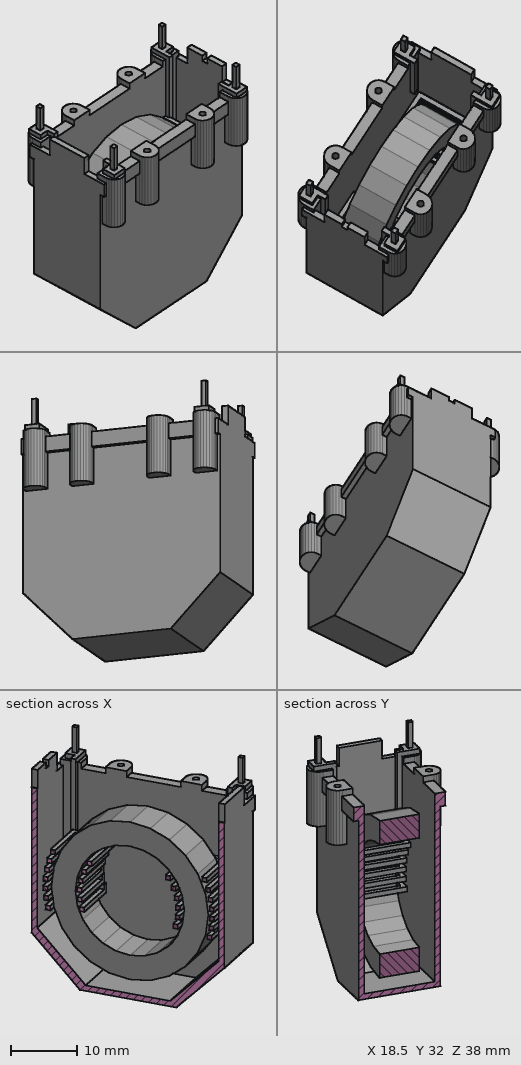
import cadquery as cq
import math


round_sides = 24

overall_width = 18.5
case_length = 32.0
case_width = 13.5
wall = 1.0
corner_cut = 8.0
case_top = 32.0
rim_width = 15.1
rim_height = 2.35

tab_width = 7.05
tab_top = 35.0
tab_slot_width = 1.0
tab_slot_depth = 1.0

boss_radius = 1.75
boss_top = 33.0
boss_height = 9.0
boss_x = overall_width / 2 - boss_radius
terminal_y = 13.75
screw_y = 6.25
screw_hole_diameter = 1.0
screw_hole_depth = 4.95

inner_width = case_width - 2 * wall
inner_length = case_length - 2 * wall

core_radius = 13.0
core_hole_radius = 9.0
core_width = 6.5
core_y = -0.1
core_z = 16.07

wire = 0.8
wire_gap = 0.4
turns = 6
pitch = 1.55
first_turn_rise = 5.9

cap_size = 2.35
pin_size = 0.75
pin_top = 38.0

coil_half_width = core_width / 2 + wire_gap + wire
coil_outer_radius = core_radius + wire_gap + wire
coil_inner_radius = core_hole_radius - wire_gap
first_turn_z = core_z + first_turn_rise


def block(x_range, y_range, z_range):
    """Box between two limits along each axis, given in any order."""
    (x0, x1), (y0, y1), (z0, z1) = sorted(x_range), sorted(y_range), sorted(z_range)
    return cq.Workplane("XY").box(x1 - x0, y1 - y0, z1 - z0, centered=False).translate((x0, y0, z0))


def cut_corner_block(width, length, bottom):
    """Block from `bottom` to the case top with both lower end edges cut off."""
    return (
        cq.Workplane("XY", origin=(0, 0, bottom))
        .rect(width, length)
        .extrude(case_top - bottom)
        .faces("<Z")
        .edges("|X")
        .chamfer(corner_cut)
    )


def boss(side, y):
    """Boss with a rounded outer side and a flat inner side flush with the cavity wall."""
    bottom = boss_top - boss_height
    x = side * boss_x
    barrel = cq.Workplane("XY", origin=(x, y, bottom)).polygon(round_sides, 2 * boss_radius)
    barrel = barrel.extrude(boss_height)
    inner_x = side * inner_width / 2
    outer_x = side * (boss_x + boss_radius)
    y_range = (y - boss_radius, y + boss_radius)
    root = block((inner_x, x), y_range, (bottom, boss_top))
    barrel_side = block((inner_x, outer_x), y_range, (bottom, boss_top))
    return root.union(barrel.intersect(barrel_side))


def make_case():
    case = cut_corner_block(case_width, case_length, 0)
    rim = cq.Workplane("XY", origin=(0, 0, case_top - rim_height)).rect(rim_width, case_length)
    case = case.union(rim.extrude(rim_height))
    case = case.cut(cut_corner_block(inner_width, inner_length, wall))

    for end in (-1, 1):
        tab_y = (end * inner_length / 2, end * case_length / 2)
        case = case.union(block((-tab_width / 2, tab_width / 2), tab_y, (case_top - wall, tab_top)))
    slot_y = (inner_length / 2, case_length / 2)
    slot_z = (tab_top - tab_slot_depth, tab_top)
    case = case.cut(block((-tab_slot_width / 2, tab_slot_width / 2), slot_y, slot_z))

    for side in (-1, 1):
        for y in (-terminal_y, -screw_y, screw_y, terminal_y):
            case = case.union(boss(side, y))
    screw_holes = (
        cq.Workplane("XY", origin=(0, 0, boss_top - screw_hole_depth))
        .rect(2 * boss_x, 2 * screw_y, forConstruction=True)
        .vertices()
        .circle(screw_hole_diameter / 2)
        .extrude(screw_hole_depth)
    )
    return case.cut(screw_holes)


def make_core():
    return (
        cq.Workplane("YZ", origin=(-core_width / 2, core_y, core_z))
        .polygon(round_sides, 2 * core_radius)
        .polygon(round_sides, 2 * core_hole_radius)
        .extrude(core_width)
    )


def make_terminal(side, end):
    """Pin on a cap that sits on a corner boss, with an arm reaching in and a leg down the wall."""
    x = side * boss_x
    y = end * terminal_y
    cap_z = (boss_top, boss_top + wire)
    cap = block((x - cap_size / 2, x + cap_size / 2), (y - cap_size / 2, y + cap_size / 2), cap_z)
    pin = block(
        (x - pin_size / 2, x + pin_size / 2), (y - pin_size / 2, y + pin_size / 2), (boss_top, pin_top)
    )
    wall_x = side * inner_width / 2
    tip_x = wall_x - side * wire
    arm_inner_y = end * (terminal_y - cap_size / 2)
    arm_y = (arm_inner_y, arm_inner_y + end * wire)
    arm = block((x, tip_x), arm_y, cap_z)
    leg = block((wall_x, tip_x), arm_y, (first_turn_z - wire / 2, boss_top + wire))
    return cap.union(pin).union(arm).union(leg)


def chord(radius, z):
    """Distance from the core axis, along Y, of a circle of this radius at height z."""
    return math.sqrt(radius ** 2 - (z - core_z) ** 2)


def make_winding(end):
    """Stepped coil round one end of the core, joined to the terminal on its -X side.

    Each turn is an outer bar and a +X arm at one height, then an inner bar and a -X arm half a
    pitch lower. The coil starts at the -X wall of the cavity and ends at the +X wall.
    """
    half = coil_half_width
    winding = make_terminal(-1, end)
    for turn in range(turns + 1):
        z = first_turn_z - turn * pitch
        outer_z = (z - wire / 2, z + wire / 2)
        outer_y = core_y + end * chord(coil_outer_radius, z)
        first_x = -inner_width / 2 if turn == 0 else -half
        last_x = inner_width / 2 if turn == turns else half
        winding = winding.union(block((first_x, last_x), (outer_y - end * wire, outer_y), outer_z))
        if turn == turns:
            break

        lower = z - pitch / 2
        lower_z = (lower - wire / 2, lower + wire / 2)
        inner_y = core_y + end * (chord(coil_inner_radius, lower) - wire)
        shorter_chord = min(chord(coil_outer_radius, z), chord(coil_outer_radius, z - pitch))
        return_y = core_y + end * shorter_chord
        winding = winding.union(block((half - wire, half), (inner_y, outer_y), outer_z))
        winding = winding.union(block((-half, half), (inner_y, inner_y + end * wire), lower_z))
        winding = winding.union(block((-half, wire - half), (inner_y, return_y), lower_z))
    return winding


case = make_case()
core = make_core()
windings = [make_winding(end) for end in (-1, 1)]
free_terminals = [make_terminal(1, end) for end in (-1, 1)]

result = cq.Compound.makeCompound(
    [case.val(), core.val(), *[w.val() for w in windings], *[t.val() for t in free_terminals]]
)